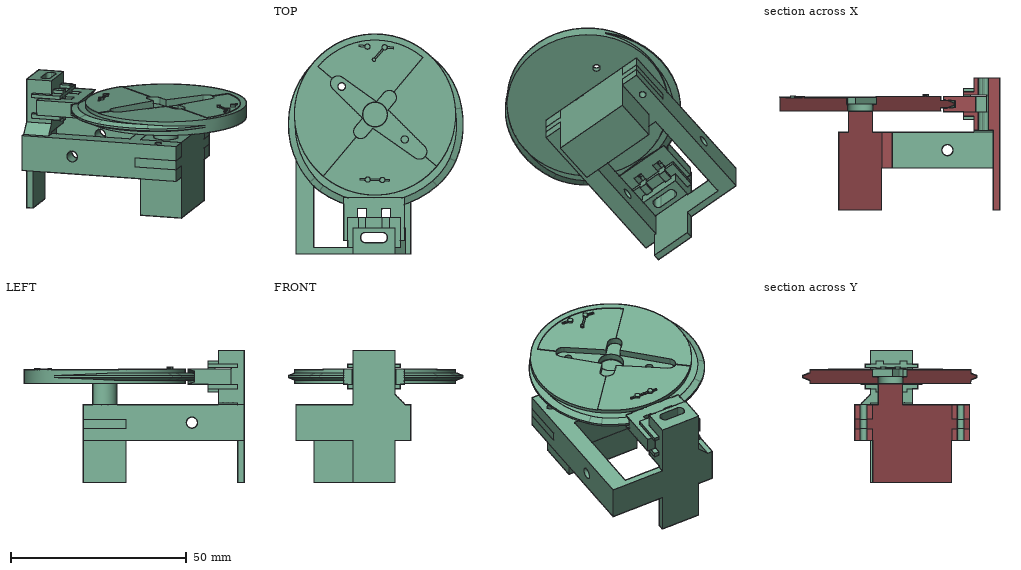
import cadquery as cq
import math


frame_left = -22.57
frame_right = 10.25
frame_rear = 6.15
frame_front = -39.8
frame_bottom = 12.0
frame_top = 22.23
plate_thickness = 1.9
crossbar_thickness = 3.1
screw_hole_diameter = 1.9
mounting_hole_diameter = 3.1
mounting_hole_y = -24.85
plate_inner_y = frame_front + plate_thickness

servo_left = -17.45
servo_right = 5.1
servo_front = -6.05
servo_lug_bottom = 15.4
servo_lug_top = 18.05
shaft_diameter = 7.0
lug_screw_inset = (servo_left - frame_left) / 2

disc_diameter = 46.0
disc_bottom = 28.25
disc_thickness = 4.0
sector_step = 0.2
recess_radius = 21.25
shaft_hole_diameter = 7.1
horn_angle = 140.0
horn_pocket_depth = 2.0
horn_screw_diameter = 2.1
disc_top = disc_bottom + disc_thickness
disc_middle = disc_bottom + disc_thickness / 2

long_arm = (16.5, 3.6, 11.06)
middle_arm = (13.8, 3.25, 12.4)
arm_tip_radius = 2.15
short_arm_width = 4.1
short_arm_reach = 8.35

rim_high_radius = 27.0
rim_low_radius = 22.9
rim_inside_radius = 22.6
rim_edge_height = 0.58
rim_root_height = 2.1
rim_taper_width = 1.93
rim_start_angle = 138

rim_arcs = [
    ((24.6, 180), (26.75, 226)),
    ((26.93, 230), (rim_high_radius, 234)),
    ((rim_high_radius, 270), (rim_high_radius, 311)),
    ((26.92, 320), (26.62, 330)),
    ((25.75, 346), (24.82, 364.4)),
    ((23.85, 388), (rim_low_radius, 408)),
    ((rim_inside_radius, 453), (rim_low_radius, 360 + rim_start_angle)),
]

marker_height = 0.55
bar_height = 0.3
bar_width = 0.5
large_dot = 1.5
small_dot = 1.0

holder_x = -0.3
post_width = 12.0
post_front = -32.37
post_bottom = 22.75
post_top = 37.75
cable_slot_length = 7.5
cable_slot_width = 2.85
cable_slot_corner = 1.25
cable_slot_y = -35.1
gusset_size = 2.97
sensor_width = 17.3
sensor_front = -23.7
sensor_rear = -36.0
sensor_bottom = 28.05
sensor_top = 32.45
sensor_notch_width = 12.55
sensor_notch_front = -33.0
groove_radius = rim_high_radius + 0.1

groove_middle_halves = (1.2, 0.9)
groove_side_halves = (2.1, 1.08)

window_width = 2.5
window_rear = -31.6
window_front = -26.85
window_pitch = 6.8
tab_width = 15.0
tab_front = -29.37
upper_tab_bottom = 32.83
upper_tab_top = 33.8
lower_tab_top = sensor_bottom
lower_tab_bottom = 26.77
clip_width = 2.1
clip_height = 0.93
clip_inner_length = 2.08
window_xs = [holder_x - window_pitch / 2, holder_x + window_pitch / 2]


def block(x0, x1, y0, y1, z0, z1):
    """Box between two opposite corners."""
    return cq.Workplane("XY").box(x1 - x0, y1 - y0, z1 - z0, centered=False).translate((x0, y0, z0))


def rod(x, y, diameter, z0, z1):
    """Upright cylinder."""
    return cq.Workplane("XY", origin=(x, y, z0)).circle(diameter / 2).extrude(z1 - z0)


def centred_block(x, width, y0, y1, z0, z1):
    """Box of a given width centred on x."""
    return block(x - width / 2, x + width / 2, y0, y1, z0, z1)


def polar(radius, angle):
    """Point at a distance and an angle in degrees from the shaft axis."""
    return (radius * math.cos(math.radians(angle)), radius * math.sin(math.radians(angle)))


def lug_screw_holes():
    holes = cq.Workplane("XY")
    for x in (frame_left + lug_screw_inset, frame_right - lug_screw_inset):
        holes = holes.union(rod(x, (servo_front + frame_rear) / 2, screw_hole_diameter, 0, frame_top))
    return holes


def servo_case():
    case = block(servo_left, servo_right, servo_front, frame_rear, 0, frame_top)
    lugs = block(frame_left, frame_right, servo_front, frame_rear, servo_lug_bottom, servo_lug_top)
    return case.union(lugs)


def make_servo():
    shaft = rod(0, 0, shaft_diameter, frame_top, disc_bottom)
    return servo_case().union(shaft).cut(lug_screw_holes())


def base_frame():
    outer = block(frame_left, frame_right, frame_front, frame_rear, frame_bottom, frame_top)
    opening = block(
        servo_left, servo_right, plate_inner_y, servo_front - crossbar_thickness, frame_bottom, frame_top
    )
    mounting_hole = (
        cq.Workplane("YZ", origin=(frame_left, mounting_hole_y, (frame_bottom + frame_top) / 2))
        .circle(mounting_hole_diameter / 2)
        .extrude(frame_right - frame_left)
    )
    return outer.cut(opening).cut(mounting_hole).cut(servo_case()).cut(lug_screw_holes())


def gusset():
    """Triangular rib between the side of the post and the top of the frame."""
    post_side = holder_x + post_width / 2
    return (
        cq.Workplane("XZ", origin=(post_side, post_front, frame_top))
        .polyline([(0, 0), (gusset_size, 0), (0, gusset_size)])
        .close()
        .extrude(post_front - frame_front)
    )


def sensor_holder():
    post = centred_block(holder_x, post_width, frame_front, post_front, post_bottom, post_top)
    plate = centred_block(holder_x, post_width, frame_front, plate_inner_y, 0, post_top)
    holder = post.union(plate)
    for z0, z1 in ((lower_tab_bottom, lower_tab_top), (upper_tab_bottom, upper_tab_top)):
        holder = holder.union(centred_block(holder_x, tab_width, plate_inner_y, tab_front, z0, z1))
    pocket = centred_block(holder_x, tab_width, sensor_rear, tab_front, lower_tab_top, upper_tab_bottom)
    cable_slot = (
        cq.Workplane("XY", origin=(holder_x, cable_slot_y, post_bottom))
        .rect(cable_slot_length, cable_slot_width)
        .extrude(post_top - post_bottom)
        .edges("|Z")
        .fillet(cable_slot_corner)
    )
    return holder.cut(pocket).cut(cable_slot)


def clips():
    """Ribs on the outside of the tabs and pegs that reach into the sensor windows."""
    inner_rear = tab_front - clip_inner_length
    clip_set = cq.Workplane("XY")
    for x in window_xs:
        for outside, inside in (
            (upper_tab_top + clip_height, upper_tab_bottom - clip_height),
            (lower_tab_bottom - clip_height, lower_tab_top + clip_height),
        ):
            tab_middle = (outside + inside) / 2
            rib = centred_block(x, clip_width, post_front, tab_front, *sorted((outside, tab_middle)))
            peg = centred_block(x, clip_width, inner_rear, tab_front, *sorted((inside, tab_middle)))
            clip_set = clip_set.union(rib).union(peg)
    return clip_set


def make_frame():
    return base_frame().union(sensor_holder()).union(gusset()).union(clips())


def rim_groove():
    """Groove for the rim: flares from the middle toward both sides and ends in a round floor."""
    depth = sensor_front + groove_radius
    half_width = sensor_width / 2

    def section(workplane, half_mouth, half_floor):
        return workplane.polyline([
            (0, half_mouth), (-depth, half_floor), (-depth, -half_floor), (0, -half_mouth),
        ]).close()

    groove = cq.Workplane("XY")
    for side in (-1, 1):
        middle = cq.Workplane("YZ", origin=(holder_x, sensor_front, disc_middle))
        flare = section(middle, *groove_middle_halves).workplane(offset=side * half_width)
        groove = groove.union(section(flare, *groove_side_halves).loft(ruled=True))
    return groove.intersect(rod(0, 0, 2 * groove_radius, sensor_bottom, sensor_top))


def make_sensor():
    sensor = centred_block(holder_x, sensor_width, sensor_rear, sensor_front, sensor_bottom, sensor_top)
    notch = centred_block(
        holder_x, sensor_notch_width, sensor_rear, sensor_notch_front, sensor_bottom, sensor_top
    )
    sensor = sensor.cut(notch).cut(rim_groove())
    for x in window_xs:
        sensor = sensor.cut(
            centred_block(x, window_width, window_rear, window_front, sensor_bottom, sensor_top)
        )
    return sensor


def sector(radius, z0, z1):
    """Quarter cylinder that starts at the X axis."""
    return (
        cq.Workplane("XY", origin=(0, 0, z0))
        .lineTo(radius, 0)
        .threePointArc(polar(radius, 45), (0, radius))
        .close()
        .extrude(z1 - z0)
    )


def turned(shape, angle):
    return shape.rotate((0, 0, 0), (0, 0, 1), angle)


def horn_arm(tip_x, root_half, screw_x):
    """Tapered arm along +X with a round tip and a screw hole through its floor."""
    lean = math.atan2(root_half - arm_tip_radius, tip_x)
    tangent_x = tip_x + arm_tip_radius * math.sin(lean)
    tangent_y = arm_tip_radius * math.cos(lean)
    arm = (
        cq.Workplane("XY", origin=(0, 0, disc_top - horn_pocket_depth))
        .moveTo(0, -root_half)
        .lineTo(tangent_x, -tangent_y)
        .threePointArc((tip_x + arm_tip_radius, 0), (tangent_x, tangent_y))
        .lineTo(0, root_half)
        .close()
        .extrude(horn_pocket_depth + sector_step)
    )
    return arm.union(rod(screw_x, 0, horn_screw_diameter, disc_bottom, disc_top))


def horn_pocket():
    """Cross of one straight arm pair and two tapered arms of different length."""
    short_arms = (
        cq.Workplane("XY", origin=(0, 0, disc_top - horn_pocket_depth))
        .slot2D(2 * short_arm_reach, short_arm_width, 90)
        .extrude(horn_pocket_depth + sector_step)
    )
    tapered_arms = horn_arm(*middle_arm).union(turned(horn_arm(*long_arm), 180))
    return turned(short_arms.union(tapered_arms), horn_angle)


def rim_outline(z):
    """Cam outline: high round stretch toward the sensor, falling on both sides into the disc."""
    outline = cq.Workplane("XY", origin=(0, 0, z)).moveTo(*polar(rim_low_radius, rim_start_angle))
    for middle, end in rim_arcs:
        outline = outline.threePointArc(polar(*middle), polar(*end))
    return outline.close()


def rim():
    edge_half = rim_edge_height / 2
    taper_height = rim_root_height / 2 - edge_half
    taper_angle = math.degrees(math.atan2(rim_taper_width, taper_height))
    edge = rim_outline(disc_middle - edge_half).extrude(rim_edge_height)
    upper = rim_outline(disc_middle + edge_half).extrude(taper_height, taper=taper_angle)
    lower = rim_outline(disc_middle - edge_half).extrude(-taper_height, taper=taper_angle)
    return edge.union(upper).union(lower)


def bar(start, end, base):
    """Flat bar between two points on the disc."""
    dx = end[0] - start[0]
    dy = end[1] - start[1]
    return (
        cq.Workplane("XY", origin=((start[0] + end[0]) / 2, (start[1] + end[1]) / 2, base))
        .transformed(rotate=(0, 0, math.degrees(math.atan2(dy, dx))))
        .rect(math.hypot(dx, dy), bar_width)
        .extrude(bar_height)
    )


def markers():
    recess_left = (-2.17, 19.36)
    recess_right = (2.74, 19.17)
    recess_low = (-0.3, 15.66)
    raised_left = (-2.1, -18.56)
    raised_right = (2.08, -18.67)
    recess_z = disc_top - sector_step
    raised_z = disc_top + sector_step
    dots = [
        (recess_left, large_dot, recess_z),
        (recess_right, large_dot, recess_z),
        (recess_low, small_dot, recess_z),
        (raised_left, large_dot, raised_z),
        (raised_right, large_dot, raised_z),
    ]
    bars = [
        (recess_left, (-4.6, 19.64), recess_z),
        (recess_right, (5.29, 19.0), recess_z),
        (recess_right, recess_low, recess_z),
        (raised_left, (-4.27, -18.44), raised_z),
        (raised_left, raised_right, raised_z),
        (raised_right, (4.06, -18.79), raised_z),
    ]
    marks = cq.Workplane("XY")
    for (x, y), diameter, base in dots:
        marks = marks.union(rod(x, y, diameter, base, base + marker_height))
    for start, end, base in bars:
        marks = marks.union(bar(start, end, base))
    return marks


def make_disc():
    disc = rod(0, 0, disc_diameter, disc_bottom, disc_top).union(rim())
    raised = turned(sector(disc_diameter / 2, disc_top, disc_top + sector_step), horn_angle + 90)
    recess = turned(sector(recess_radius, disc_top - sector_step, disc_top), horn_angle - 90)
    shaft_hole = rod(0, 0, shaft_hole_diameter, disc_bottom, disc_top + sector_step)
    disc = disc.union(raised).cut(recess).cut(horn_pocket()).cut(shaft_hole)
    return disc.union(markers())


frame = make_frame()
servo = make_servo()
disc = make_disc()
sensor = make_sensor()

result = cq.Compound.makeCompound([frame.val(), servo.val(), disc.val(), sensor.val()])